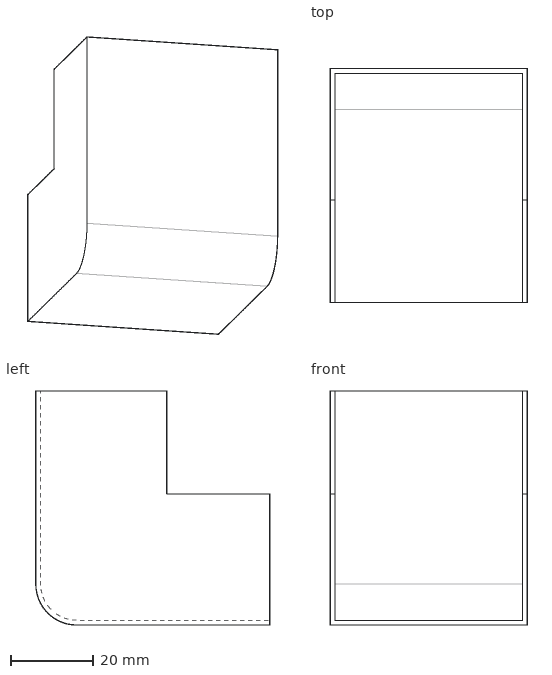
import cadquery as cq

WIDTH = 47.9
LEG_LENGTH = 56.9
LEG_DEPTH = 31.9
WALL = 1.2
OUTER_RADIUS = 10.0
INNER_RADIUS = OUTER_RADIUS - WALL

BACK = LEG_LENGTH


def elbow_plate():
    """Full-width L-shaped block with a rounded outer corner."""
    return (
        cq.Workplane("YZ")
        .moveTo(0, 0)
        .lineTo(BACK - OUTER_RADIUS, 0)
        .radiusArc((BACK, OUTER_RADIUS), -OUTER_RADIUS)
        .lineTo(BACK, LEG_LENGTH)
        .lineTo(BACK - LEG_DEPTH, LEG_LENGTH)
        .lineTo(BACK - LEG_DEPTH, LEG_DEPTH)
        .lineTo(0, LEG_DEPTH)
        .close()
        .extrude(WIDTH / 2, both=True)
    )


def channel_cavity():
    """Space between the side walls, with a rounded corner that keeps the sheet even."""
    return (
        cq.Workplane("YZ")
        .moveTo(0, WALL)
        .lineTo(BACK - OUTER_RADIUS, WALL)
        .radiusArc((BACK - WALL, OUTER_RADIUS), -INNER_RADIUS)
        .lineTo(BACK - WALL, LEG_LENGTH)
        .lineTo(0, LEG_LENGTH)
        .close()
        .extrude(WIDTH / 2 - WALL, both=True)
    )


result = elbow_plate().cut(channel_cavity())